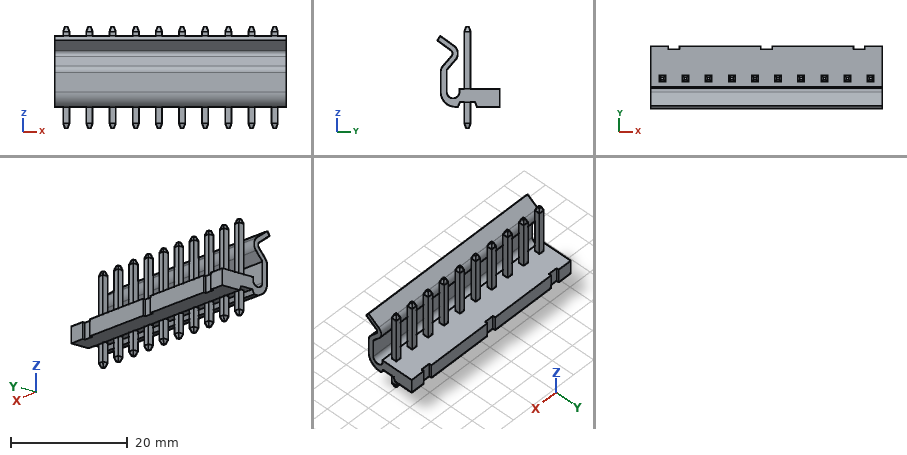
import cadquery as cq
import math


pin_count = 10
pitch = 3.97
pin_width = 1.1
pin_tip_width = 0.48
pin_tip_length = 0.85
pin_top = 13.78
pin_bottom = -3.65

overall_depth = 10.75
length = pin_count * pitch
base_rear = 5.55
base_front = -1.4
base_height = 3.1
groove_depth = 0.85
groove_mouth_half = 1.63
groove_floor_half = 1.27

notch_width = 1.9
notch_depth = 0.5
notch_spacing = 4 * pitch

upright_thickness = 1.07
leaf_thickness = 0.95
channel_width = 2.15
channel_axis_z = 2.6
heel_radius = channel_axis_z
lean = math.radians(41)
lip_rise = math.radians(36)
bend_y = -3.25
bend_z = 9.17
bend_radius = 1.63
bend_inner_radius = bend_radius - leaf_thickness
shoulder_radius = 1.63
lip_front = base_rear - overall_depth

upright_rear = base_front - channel_width
upright_front = upright_rear - upright_thickness

web_normal_angle = -lean
lip_normal_angle = math.pi / 2 - lip_rise


def polar(center, radius, angle):
    """Point at an angle from +Y towards +Z about a centre in the YZ plane."""
    return (center[0] + radius * math.cos(angle), center[1] + radius * math.sin(angle))


def web_height(radius, y):
    """Height at which the web face tangent to the given bend radius reaches y."""
    start = polar((bend_y, bend_z), radius, web_normal_angle)
    return start[1] - (start[0] - y) / math.tan(lean)


def housing():
    bend = (bend_y, bend_z)
    channel_axis = (base_front - channel_width / 2, channel_axis_z)
    heel_axis = (upright_front + heel_radius, heel_radius)

    lip_inner_start = polar(bend, bend_inner_radius, lip_normal_angle)
    lip_length = (lip_inner_start[0] - lip_front) / math.cos(lip_rise)
    lip_lower = (lip_front, lip_inner_start[1] + lip_length * math.sin(lip_rise))
    lip_upper = polar(lip_lower, leaf_thickness, lip_normal_angle)

    shoulder_tangent = shoulder_radius * math.tan(lean / 2)
    shoulder_z = web_height(bend_inner_radius, upright_front) - shoulder_tangent
    shoulder_axis = (upright_front + shoulder_radius, shoulder_z)

    profile = (
        cq.Workplane("YZ")
        .moveTo(base_rear, 0)
        .lineTo(base_rear, base_height)
        .lineTo(base_front, base_height)
        .lineTo(base_front, channel_axis_z)
        .threePointArc(
            polar(channel_axis, channel_width / 2, -math.pi / 2),
            (upright_rear, channel_axis_z),
        )
        .lineTo(upright_rear, web_height(bend_radius, upright_rear))
        .lineTo(*polar(bend, bend_radius, web_normal_angle))
        .threePointArc(
            polar(bend, bend_radius, 0),
            polar(bend, bend_radius, lip_normal_angle),
        )
        .lineTo(*lip_upper)
        .lineTo(*lip_lower)
        .lineTo(*lip_inner_start)
        .threePointArc(
            polar(bend, bend_inner_radius, 0),
            polar(bend, bend_inner_radius, web_normal_angle),
        )
        .lineTo(*polar(shoulder_axis, shoulder_radius, math.pi - lean))
        .threePointArc(
            polar(shoulder_axis, shoulder_radius, math.pi - lean / 2),
            (upright_front, shoulder_z),
        )
        .lineTo(upright_front, heel_radius)
        .threePointArc(
            polar(heel_axis, heel_radius, -3 * math.pi / 4),
            (heel_axis[0], 0),
        )
        .lineTo(-groove_mouth_half, 0)
        .lineTo(-groove_floor_half, groove_depth)
        .lineTo(groove_floor_half, groove_depth)
        .lineTo(groove_mouth_half, 0)
        .close()
    )
    return profile.extrude(length / 2, both=True)


def rear_notches():
    positions = [(i * notch_spacing, base_rear - notch_depth / 2) for i in (-1, 0, 1)]
    return cq.Workplane("XY").pushPoints(positions).rect(notch_width, notch_depth).extrude(base_height)


def pin():
    """Square pin on the Z axis, tapered to a small flat at both ends."""
    shank_bottom = pin_bottom + pin_tip_length
    shank_top = pin_top - pin_tip_length
    shank = (
        cq.Workplane("XY", origin=(0, 0, shank_bottom))
        .rect(pin_width, pin_width)
        .extrude(shank_top - shank_bottom)
    )
    for shank_end, direction in ((shank_top, 1), (shank_bottom, -1)):
        tip = (
            cq.Workplane("XY", origin=(0, 0, shank_end))
            .rect(pin_width, pin_width)
            .workplane(offset=direction * pin_tip_length)
            .rect(pin_tip_width, pin_tip_width)
            .loft()
        )
        shank = shank.union(tip)
    return shank


result = housing().cut(rear_notches())
first_pin_x = -(pin_count - 1) * pitch / 2
for index in range(pin_count):
    result = result.union(pin().translate((first_pin_x + index * pitch, 0, 0)))